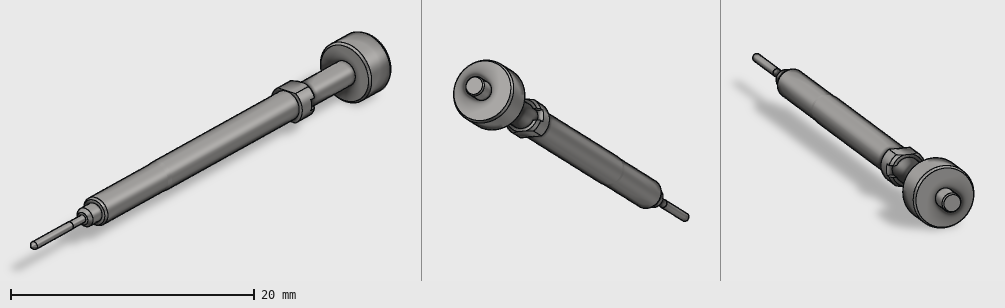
import cadquery as cq

total_length = 47.1
needle_cone_end = 0.45
needle_joint = 5.3
nose_front = 7.0
nose_cone_end = 7.35
barrel_front = 8.55
barrel_step = 16.95
nut_front = 34.52
nut_back = 36.55
collar_front = 42.35
collar_back = 45.3

needle_diameter = 0.7
needle_neck_diameter = 0.65
nose_diameter = 1.65
nose_tip_diameter = 1.1
front_barrel_diameter = 2.5
rear_barrel_diameter = 2.6
nut_diameter = 3.25
shaft_diameter = 2.2
collar_diameter = 5.3
pin_diameter = 1.65

barrel_step_length = 0.45
barrel_chamfer_length = 0.25
barrel_chamfer_depth = 0.15
collar_front_chamfer = 0.2
collar_back_chamfer_length = 0.3
collar_back_chamfer_depth = 0.15
pin_chamfer_length = 0.2
pin_chamfer_depth = 0.1
nut_chamfer_length = 0.3
nut_chamfer_depth = 0.25
nut_across_flats = 2.7
nut_slot_width = 1.0
nut_slot_depth = 0.75


def revolved(points):
    """Turn an outline of (radius, Y) points about the Y axis."""
    return cq.Workplane("XY").polyline(points).close().revolve(360, (0, 0, 0), (0, 1, 0))


def make_needle():
    """Pointed needle with a slightly thinner neck leading into the nose."""
    radius = needle_diameter / 2
    neck_radius = needle_neck_diameter / 2
    return revolved([
        (0, 0),
        (radius, needle_cone_end),
        (radius, needle_joint),
        (neck_radius, needle_joint),
        (neck_radius, nose_front),
        (0, nose_front),
    ])


def make_nose():
    """Short nose with a coned front."""
    radius = nose_diameter / 2
    tip_radius = nose_tip_diameter / 2
    return revolved([
        (0, nose_front),
        (tip_radius, nose_front),
        (radius, nose_cone_end),
        (radius, barrel_front),
        (0, barrel_front),
    ])


def make_barrel():
    """Long barrel: chamfered front, then a gentle cone up to the rear diameter."""
    front_radius = front_barrel_diameter / 2
    rear_radius = rear_barrel_diameter / 2
    return revolved([
        (0, barrel_front),
        (front_radius - barrel_chamfer_depth, barrel_front),
        (front_radius, barrel_front + barrel_chamfer_length),
        (front_radius, barrel_step),
        (rear_radius, barrel_step + barrel_step_length),
        (rear_radius, nut_front),
        (0, nut_front),
    ])


def make_nut():
    """Nut with two flats facing +Z and -Z and a slot across its back face along X."""
    radius = nut_diameter / 2
    body = revolved([
        (0, nut_front),
        (radius, nut_front),
        (radius, nut_back - nut_chamfer_length),
        (radius - nut_chamfer_depth, nut_back),
        (0, nut_back),
    ])
    flats = cq.Workplane("XY").box(nut_diameter, total_length, nut_across_flats)
    flats = flats.translate((0, total_length / 2, 0))
    slot = cq.Workplane("XY").box(nut_diameter, nut_slot_depth, nut_slot_width)
    slot = slot.translate((0, nut_back - nut_slot_depth / 2, 0))
    return body.intersect(flats).cut(slot)


def make_collar():
    """Wide collar with a chamfer on each rim."""
    radius = collar_diameter / 2
    return revolved([
        (0, collar_front),
        (radius - collar_front_chamfer, collar_front),
        (radius, collar_front + collar_front_chamfer),
        (radius, collar_back - collar_back_chamfer_length),
        (radius - collar_back_chamfer_depth, collar_back),
        (0, collar_back),
    ])


def make_pin():
    """Plain pin behind the collar with a chamfered end."""
    radius = pin_diameter / 2
    return revolved([
        (0, collar_back),
        (radius, collar_back),
        (radius, total_length - pin_chamfer_length),
        (radius - pin_chamfer_depth, total_length),
        (0, total_length),
    ])


def make_shaft():
    """Shaft through the nut to the collar; it fills the middle of the nut slot."""
    radius = shaft_diameter / 2
    return revolved([
        (0, nut_front),
        (radius, nut_front),
        (radius, collar_front),
        (0, collar_front),
    ])


result = make_needle()
for make_section in (make_nose, make_barrel, make_nut, make_shaft, make_collar, make_pin):
    result = result.union(make_section())